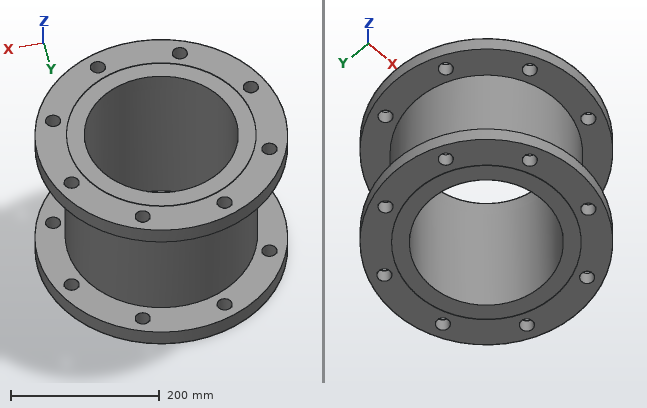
import cadquery as cq

FLANGE_DIAMETER = 340.0
FLANGE_THICKNESS = 24.0
RAISED_FACE_DIAMETER = 255.0
RAISED_FACE_HEIGHT = 1.0
FLANGE_DEPTH = FLANGE_THICKNESS + RAISED_FACE_HEIGHT

BOLT_CIRCLE_DIAMETER = 295.0
BOLT_HOLE_DIAMETER = 20.0
BOLT_HOLE_COUNT = 8

TOTAL_HEIGHT = 235.0
BORE_DIAMETER = 207.0
CASING_DIAMETER = 259.0
NECK_DIAMETER = 213.0
NECK_HEIGHT = 1.7
CASING_RIM_RADIUS = 3.0


def cylinder(diameter, bottom, height):
    """Upright cylinder on the Z axis."""
    return cq.Workplane("XY").workplane(offset=bottom).circle(diameter / 2).extrude(height)


def bottom_flange():
    """Bored flange whose raised sealing face lies at Z = 0."""
    plate = cylinder(FLANGE_DIAMETER, RAISED_FACE_HEIGHT, FLANGE_THICKNESS)
    raised_face = cylinder(RAISED_FACE_DIAMETER, 0, RAISED_FACE_HEIGHT)
    bore = cylinder(BORE_DIAMETER, 0, FLANGE_DEPTH)
    bolt_holes = (
        cq.Workplane("XY")
        .polarArray(BOLT_CIRCLE_DIAMETER / 2, 180 / BOLT_HOLE_COUNT, 360, BOLT_HOLE_COUNT)
        .circle(BOLT_HOLE_DIAMETER / 2)
        .extrude(FLANGE_DEPTH)
    )
    return plate.union(raised_face).cut(bore).cut(bolt_holes)


def pipe_body():
    """Casing with rounded rims; each neck is one concave round from the flange to the casing end."""
    bore_radius = BORE_DIAMETER / 2
    neck_radius = NECK_DIAMETER / 2
    casing_radius = CASING_DIAMETER / 2
    casing_bottom = FLANGE_DEPTH + NECK_HEIGHT
    casing_top = TOTAL_HEIGHT - casing_bottom
    pipe_top = TOTAL_HEIGHT - FLANGE_DEPTH
    profile = (
        cq.Workplane("XZ")
        .moveTo(bore_radius, FLANGE_DEPTH)
        .lineTo(neck_radius, FLANGE_DEPTH)
        .radiusArc((neck_radius + NECK_HEIGHT, casing_bottom), NECK_HEIGHT)
        .lineTo(casing_radius - CASING_RIM_RADIUS, casing_bottom)
        .radiusArc((casing_radius, casing_bottom + CASING_RIM_RADIUS), -CASING_RIM_RADIUS)
        .lineTo(casing_radius, casing_top - CASING_RIM_RADIUS)
        .radiusArc((casing_radius - CASING_RIM_RADIUS, casing_top), -CASING_RIM_RADIUS)
        .lineTo(neck_radius + NECK_HEIGHT, casing_top)
        .radiusArc((neck_radius, pipe_top), NECK_HEIGHT)
        .lineTo(bore_radius, pipe_top)
        .close()
    )
    return profile.revolve(360, (0, 0, 0), (0, 1, 0))


lower_flange = bottom_flange()
upper_flange = lower_flange.mirror("XY").translate((0, 0, TOTAL_HEIGHT))
result = pipe_body().union(lower_flange).union(upper_flange)